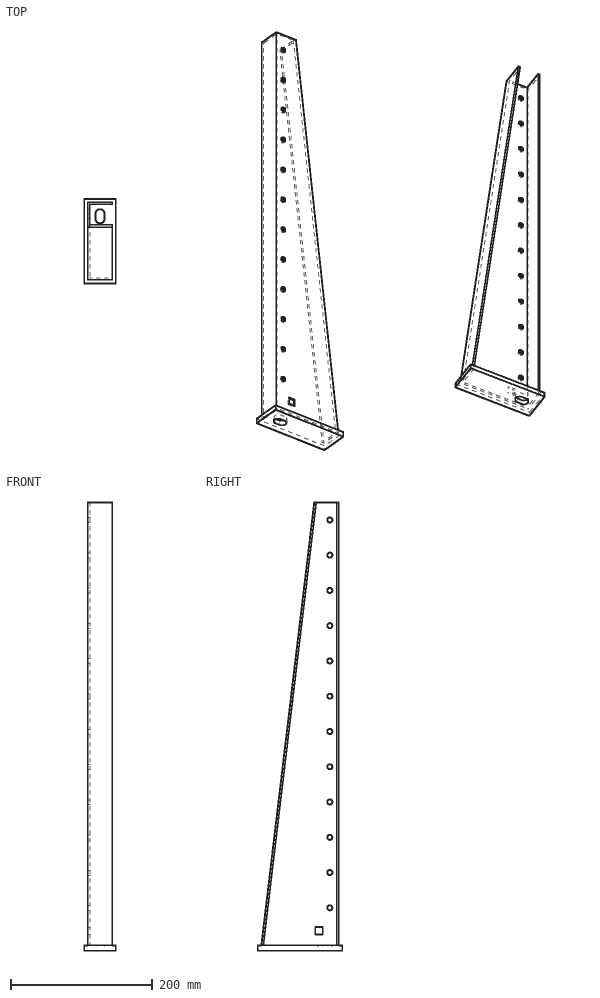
import cadquery as cq
import math

TOTAL_HEIGHT = 636.0
PLATE_WIDTH = 45.0
PLATE_DEPTH = 120.0
PLATE_THICKNESS = 7.5

PLATE_MARGIN = 5.0
WALL = 3.0
TOP_DEPTH = 35.0
channel_width = PLATE_WIDTH - 2 * PLATE_MARGIN
channel_height = TOTAL_HEIGHT - PLATE_THICKNESS
base_depth = PLATE_DEPTH - 2 * PLATE_MARGIN
web_x = -channel_width / 2
back_y = base_depth / 2

ROW_HOLE_DIAMETER = 7.0
ROW_HOLE_COUNT = 12
ROW_FROM_BACK = 13.0
ROW_LOWEST_Z = 61.0
ROW_FROM_TOP = 25.0
row_rise = TOTAL_HEIGHT - ROW_FROM_TOP - ROW_LOWEST_Z
row_pitch = row_rise / (ROW_HOLE_COUNT - 1)

FOOT_HOLE_SIZE = 10.0
FOOT_HOLE_FROM_BACK = 28.0
FOOT_HOLE_ABOVE_PLATE = 21.0

SLOT_WIDTH = 13.0
SLOT_LENGTH = 20.0
SLOT_FROM_BACK = 20.0


def tapered_block(x_start, back, front_base, front_top):
    """Block with an upright back and sloping front, running from x_start to the open side."""
    return (
        cq.Workplane("YZ", origin=(x_start, 0, PLATE_THICKNESS))
        .moveTo(back, 0)
        .lineTo(front_base, 0)
        .lineTo(front_top, channel_height)
        .lineTo(back, channel_height)
        .close()
        .extrude(channel_width / 2 - x_start)
    )


def channel():
    front_base = -base_depth / 2
    front_top = back_y - TOP_DEPTH
    slope_angle = math.atan2(front_top - front_base, channel_height)
    front_wall = WALL / math.cos(slope_angle)
    outside = tapered_block(web_x, back_y, front_base, front_top)
    inside = tapered_block(web_x + WALL, back_y - WALL, front_base + front_wall, front_top + front_wall)
    return outside.cut(inside)


def base_plate():
    plate = cq.Workplane("XY").box(PLATE_WIDTH, PLATE_DEPTH, PLATE_THICKNESS, centered=(True, True, False))
    slot = (
        cq.Workplane("XY")
        .center(0, back_y - SLOT_FROM_BACK)
        .slot2D(SLOT_LENGTH, SLOT_WIDTH, 90)
        .extrude(PLATE_THICKNESS)
    )
    return plate.cut(slot)


def web_position(from_back, z):
    """Workplane on the outer face of the web, facing into it."""
    return cq.Workplane("YZ", origin=(web_x, back_y - from_back, z))


def row_holes():
    return (
        web_position(ROW_FROM_BACK, ROW_LOWEST_Z + row_rise / 2)
        .rarray(row_pitch, row_pitch, 1, ROW_HOLE_COUNT)
        .circle(ROW_HOLE_DIAMETER / 2)
        .extrude(WALL)
    )


def foot_hole():
    hole_z = PLATE_THICKNESS + FOOT_HOLE_ABOVE_PLATE
    return web_position(FOOT_HOLE_FROM_BACK, hole_z).rect(FOOT_HOLE_SIZE, FOOT_HOLE_SIZE).extrude(WALL)


result = base_plate().union(channel()).cut(row_holes()).cut(foot_hole())